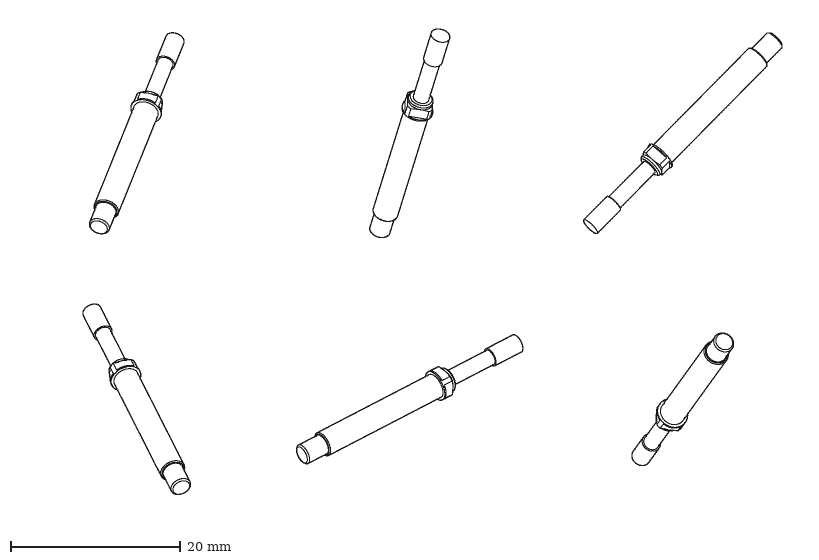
import cadquery as cq

length = 32.3

tail_diameter = 2.5
barrel_diameter = 3.05
flange_diameter = 3.75
rod_diameter = 1.9
head_diameter = 2.3

tail_length = 3.0
barrel_length = 17.0
flange_thickness = 0.2
collar_length = 1.85
rod_length = 6.25

tail_chamfer = 0.2
barrel_chamfer = 0.13

collar_across_flats = 3.05
neck_diameter = 3.05
neck_length = 0.52
neck_chamfer = 0.2
taper_length = 0.1

y_tail = -length / 2
y_barrel = y_tail + tail_length
y_flange = y_barrel + barrel_length
y_collar = y_flange + flange_thickness
y_rod = y_collar + collar_length
y_head = y_rod + rod_length
y_end = length / 2


def cylinder(diameter, y_start, y_stop):
    """Solid round on the Y axis between two positions."""
    plane = cq.Workplane("XZ", origin=(0, y_start, 0))
    return plane.circle(diameter / 2).extrude(y_start - y_stop)


def make_collar():
    """Round collar, tapered down to its neck, with four wrench flats."""
    y_neck = y_rod - neck_length
    outline = [
        (0, y_collar),
        (flange_diameter / 2, y_collar),
        (flange_diameter / 2, y_neck - taper_length),
        (neck_diameter / 2, y_neck),
        (neck_diameter / 2, y_rod - neck_chamfer),
        (neck_diameter / 2 - neck_chamfer, y_rod),
        (0, y_rod),
    ]
    turned = cq.Workplane("XY").polyline(outline).close().revolve(360, (0, 0, 0), (0, 1, 0))
    flats = cq.Workplane("XY").box(collar_across_flats, 2 * length, collar_across_flats)
    return turned.intersect(flats)


tail = cylinder(tail_diameter, y_tail, y_barrel).faces("<Y").chamfer(tail_chamfer)
barrel = cylinder(barrel_diameter, y_barrel, y_flange).faces("<Y").chamfer(barrel_chamfer)
flange = cylinder(flange_diameter, y_flange, y_collar)
rod = cylinder(rod_diameter, y_rod, y_head)
head = cylinder(head_diameter, y_head, y_end)

result = tail.union(barrel).union(flange).union(make_collar()).union(rod).union(head)